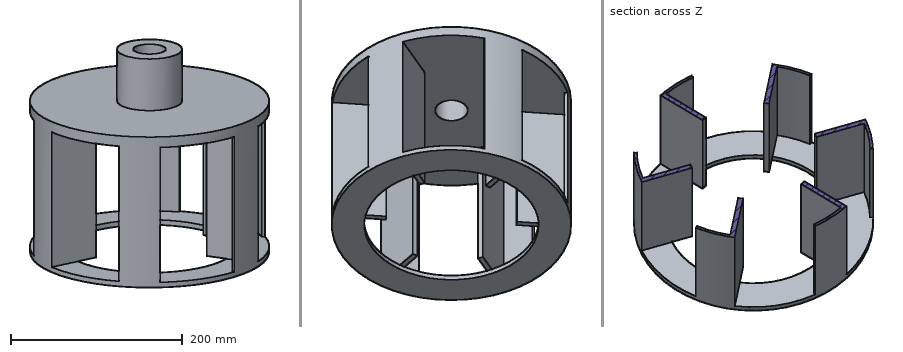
import cadquery as cq
import math

outer_radius = 139.7
overall_height = 247.5
ring_thickness = 6.5
disc_bottom = 171.5
disc_thickness = 2 * ring_thickness
ring_inner_radius = 101.7
hub_radius = 38.0
bore_radius = hub_radius / 2

blade_count = 6
blade_pitch = 360 / blade_count
wall_thickness = 4.0
fin_thickness = 6.5
blade_sweep = 20.0
fin_inner_radius = 76.3
blade_height = disc_bottom - ring_thickness
wall_inner_radius = outer_radius - wall_thickness
disc_top = disc_bottom + disc_thickness


def make_drum():
    """Ring, unbroken rim wall, disc and bored hub, revolved about Z."""
    half_section = [
        (ring_inner_radius, 0),
        (outer_radius, 0),
        (outer_radius, disc_top),
        (hub_radius, disc_top),
        (hub_radius, overall_height),
        (bore_radius, overall_height),
        (bore_radius, disc_bottom),
        (wall_inner_radius, disc_bottom),
        (wall_inner_radius, ring_thickness),
        (ring_inner_radius, ring_thickness),
    ]
    return cq.Workplane("XZ").polyline(half_section).close().revolve(360, (0, 0), (0, 1))


def make_window():
    """Wedge from the axis that clears the rim wall between two blades."""
    window_sweep = math.radians(blade_pitch - blade_sweep)
    reach = 1.2 * outer_radius
    return (
        cq.Workplane("XY", origin=(0, 0, ring_thickness))
        .polyline([(0, 0), (reach, 0), (reach * math.cos(window_sweep), reach * math.sin(window_sweep))])
        .close()
        .extrude(blade_height)
    )


def make_fin():
    """Radial plate on +X, ending within the thickness of the rim wall."""
    fin_outer_radius = outer_radius - wall_thickness / 2
    return (
        cq.Workplane("XY", origin=(fin_inner_radius, -fin_thickness, ring_thickness))
        .rect(fin_outer_radius - fin_inner_radius, fin_thickness, centered=False)
        .extrude(blade_height)
    )


def turned(shape, index):
    """Shape turned about Z to the given blade position."""
    return shape.rotate((0, 0, 0), (0, 0, 1), index * blade_pitch)


result = make_drum()

window = make_window()
for index in range(blade_count):
    result = result.cut(turned(window, index))

fin = make_fin()
for index in range(blade_count):
    result = result.union(turned(fin, index))